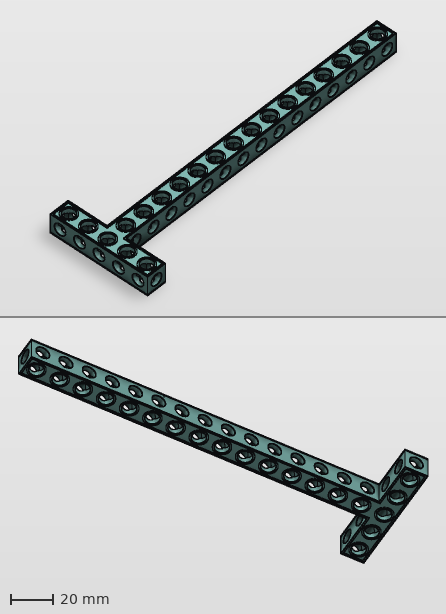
import cadquery as cq

length = 200.0
stem_stations = 16
crossbar_stations = 5
hole_diameter = 7.0
side_chamfer = 0.25

land_width = 0.25
panel_diameter = 9.2
groove_depth = 0.5

pitch = length / stem_stations
crossbar_length = crossbar_stations * pitch
half_pitch = pitch / 2
hole_radius = hole_diameter / 2
panel_margin = panel_diameter / 2 - hole_radius

y_stations = [i * pitch for i in range(stem_stations)]
x_stations = [(i - (crossbar_stations - 1) / 2) * pitch for i in range(crossbar_stations)]
vertical_stations = [(0, y) for y in y_stations] + [(x, 0) for x in x_stations if x != 0]


def make_tee(height, inset=0):
    """T-shaped plate centred on Z = 0, its outline moved inward by the inset."""
    bar_width = pitch - 2 * inset
    crossbar = cq.Workplane("XY").box(crossbar_length - 2 * inset, bar_width, height)
    stem = (
        cq.Workplane("XY")
        .center(0, (length - pitch) / 2)
        .box(bar_width, length - 2 * inset, height)
    )
    return crossbar.union(stem)


def make_vertical_pins(radius, height):
    """One cylinder along Z at every vertical hole station, centred on Z = 0."""
    return (
        cq.Workplane("XY")
        .pushPoints(vertical_stations)
        .circle(radius)
        .extrude(height / 2, both=True)
    )


def make_panel(margin):
    """Plate as thick as the groove is deep, kept a margin away from the outline and the holes."""
    holes = make_vertical_pins(hole_radius + margin, groove_depth)
    return make_tee(groove_depth, margin).cut(holes)


def cut_grooves(body):
    """Cut the groove into the top and bottom faces."""
    groove = make_panel(land_width).cut(make_panel(panel_margin))
    groove_height = half_pitch - groove_depth / 2
    for z in (groove_height, -groove_height):
        body = body.cut(groove.translate((0, 0, z)))
    return body


def make_side_pin(half_length):
    """Cylinder along Z, flared at both ends to the mouth of a chamfered hole."""
    mouth_radius = hole_radius + side_chamfer
    chamfer_start = half_length - side_chamfer
    profile = [
        (0, -half_length),
        (mouth_radius, -half_length),
        (hole_radius, -chamfer_start),
        (hole_radius, chamfer_start),
        (mouth_radius, half_length),
        (0, half_length),
    ]
    return cq.Workplane("XZ").polyline(profile).close().revolve(360, (0, 0), (0, 1))


def cut_side_holes(body):
    """Cut the holes that run along X and along Y, chamfered at both mouths."""
    for y in y_stations:
        half_length = crossbar_length / 2 if y == 0 else half_pitch
        pin = make_side_pin(half_length).rotate((0, 0, 0), (0, 1, 0), 90)
        body = body.cut(pin.translate((0, y, 0)))
    for x in x_stations:
        bar_length = length if x == 0 else pitch
        pin = make_side_pin(bar_length / 2).rotate((0, 0, 0), (1, 0, 0), 90)
        body = body.cut(pin.translate((x, (bar_length - pitch) / 2, 0)))
    return body


body = make_tee(pitch).cut(make_vertical_pins(hole_radius, pitch))
result = cut_side_holes(cut_grooves(body))